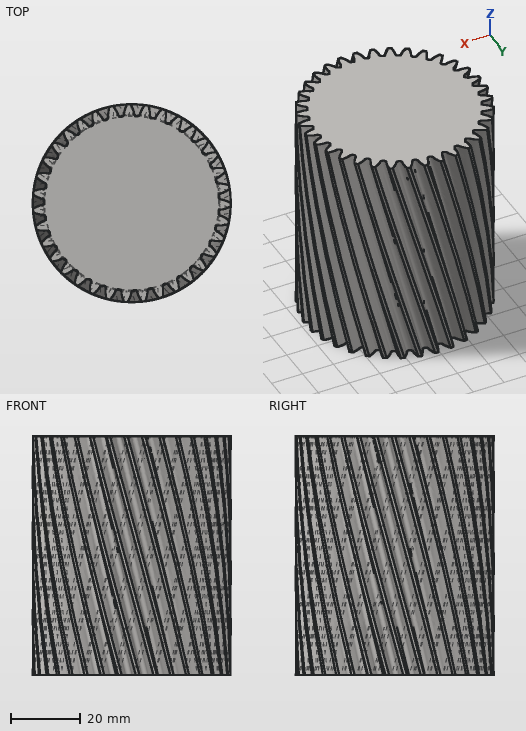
import cadquery as cq
import math


length = 69.0
tip_radius = 28.6
pitch_radius = 27.1
root_radius = 25.1
flank_start_radius = 25.7
tooth_count = 35
helix_angle = 14.5
normal_pressure_angle = 20.0
gap_widening = 0.15
flank_points = 6

helix = math.radians(helix_angle)
pressure_angle = math.atan(math.tan(math.radians(normal_pressure_angle)) / math.cos(helix))
base_radius = pitch_radius * math.cos(pressure_angle)
tooth_pitch = 2 * math.pi / tooth_count
twist_degrees = math.degrees(length * math.tan(helix) / pitch_radius)

first_gap_angle = tooth_pitch / 4 + math.radians(twist_degrees) / 2


def involute(angle):
    """Polar angle swept by the involute at the given pressure angle."""
    return math.tan(angle) - angle


def polar(radius, angle):
    return radius * math.cos(angle), radius * math.sin(angle)


def gap_half_angle(radius):
    """Half of the angle between the facing flanks of a gap at a radius on the involute."""
    at_pitch = tooth_pitch / 4 + gap_widening / (2 * pitch_radius)
    local_pressure_angle = math.acos(base_radius / radius)
    return at_pitch + involute(local_pressure_angle) - involute(pressure_angle)


def flank(centre_angle, side):
    """Involute points from the rounded root out to the tip; side is -1 or +1."""
    step = (tip_radius - flank_start_radius) / (flank_points - 1)
    radii = [flank_start_radius + i * step for i in range(flank_points)]
    return [polar(r, centre_angle + side * gap_half_angle(r)) for r in radii]


def tooth_profile():
    """Closed outline: one smooth curve down and up each gap, then an arc over the next tooth."""
    tip_half_angle = tooth_pitch / 2 - gap_half_angle(tip_radius)
    first_edge = flank(first_gap_angle, -1)[-1]
    outline = cq.Workplane("XY", origin=(0, 0, -length / 2)).moveTo(*first_edge)
    for i in range(tooth_count):
        gap_angle = first_gap_angle + i * tooth_pitch
        falling = flank(gap_angle, -1)[::-1]
        gap_bottom = polar(root_radius, gap_angle)
        rising = flank(gap_angle, 1)
        outline = outline.spline(falling[1:] + [gap_bottom] + rising, includeCurrent=True)

        tooth_angle = gap_angle + tooth_pitch / 2
        tooth_top = polar(tip_radius, tooth_angle)
        outline = outline.threePointArc(tooth_top, polar(tip_radius, tooth_angle + tip_half_angle))
    return outline.close()


result = tooth_profile().twistExtrude(length, -twist_degrees)